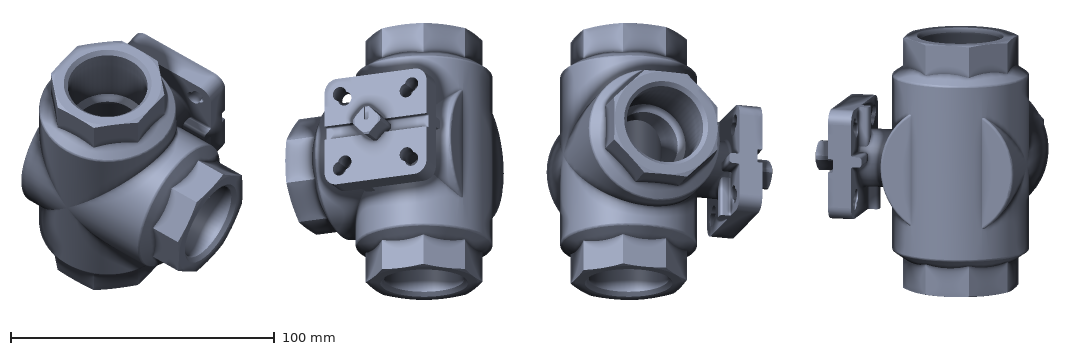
import cadquery as cq
import math

overall_height = 97.0
port_reach = overall_height / 2
body_radius = 26.0

shoulder_start = 33.7
shoulder_slope = 0.69
hub_radius = 19.4
hub_start = shoulder_start + shoulder_slope * (body_radius - hub_radius)
rim_round = 1.0
octagon_flats = 40.9
octagon_turn = 180 / 8
octagon_corner_radius = octagon_flats / 2 / math.cos(math.pi / 8)
end_chamfer_radius = 20.4
end_chamfer_depth = 0.5
bore_diameter = 25.0
thread_diameter = 30.3
thread_depth = 24.25
mouth_diameter = 33.3
drill_slope = math.tan(math.radians(30))

branch_back = 22.0

neck_radius = 22.0 / 2
plate_size = 42.0
plate_back = 37.5
plate_front = 46.6
plate_thickness = plate_front - plate_back
plate_corner_radius = 5.0
key_width = 5.2
key_depth = 1.9
key_round = 0.5

rib_width = 4.0
rib_height = 4.1
rib_tip_round = 1.3
rib_root_round = 0.8
neck_root_round = 1.0
side_rib_offset = 1.8
upright_rib_offset = 7.4

bolt_hole_diameter = 5.5
bolt_circle_diameters = (36.0, 42.0)

stem_square = 9.0
stem_corner_radius = 5.6
stem_end = 55.5
stem_chamfer_depth = 0.4
stem_chamfer_width = 0.8
mark_width = 1.9
mark_depth = 1.0


def along_x(shape):
    """Turn a shape built along +Z so that it points along +X."""
    return shape.rotate((0, 0, 0), (0, 1, 0), 90)


def cylinder_y(radius, start, end):
    """Cylinder about the Y axis between two Y positions."""
    return cq.Workplane("XZ", origin=(0, start, 0)).circle(radius).extrude(start - end)


def revolve_z(points):
    """Solid of revolution about Z from an outline of (radius, height) points."""
    return cq.Workplane("XZ").polyline(points).close().revolve(360, (0, 0, 0), (0, 1, 0))


def barrel(start_points):
    """Cylinder ending in a conical shoulder at the top, with the given outline at its lower end."""
    shoulder_points = [(body_radius, shoulder_start), (hub_radius, hub_start), (0, hub_start)]
    rims = cq.selectors.RadiusNthSelector(-1)
    return revolve_z(start_points + shoulder_points).edges("%CIRCLE").edges(rims).fillet(rim_round)


def octagon_end():
    """Octagonal spigot from the centre to the port face, its corners chamfered at the end."""
    octagon = (
        cq.Workplane("XY")
        .polygon(8, 2 * octagon_corner_radius)
        .extrude(port_reach)
        .rotate((0, 0, 0), (0, 0, 1), octagon_turn)
    )
    chamfer_cone = revolve_z([
        (0, 0),
        (octagon_corner_radius, 0),
        (octagon_corner_radius, port_reach - end_chamfer_depth),
        (end_chamfer_radius, port_reach),
        (0, port_reach),
    ])
    return octagon.intersect(chamfer_cone)


def port_bore():
    """Bore from the centre out to the port face, widening to the thread and a chamfered mouth."""
    bore = bore_diameter / 2
    thread = thread_diameter / 2
    mouth = mouth_diameter / 2
    thread_end = port_reach - thread_depth
    return revolve_z([
        (0, 0),
        (bore, 0),
        (bore, thread_end - (thread - bore) * drill_slope),
        (thread, thread_end),
        (thread, port_reach - (mouth - thread)),
        (mouth, port_reach),
        (0, port_reach),
    ])


def tee_body():
    """Vertical run with a port at each end and a horizontal branch towards +X."""
    lower_shoulder = [(0, -hub_start), (hub_radius, -hub_start), (body_radius, -shoulder_start)]
    closed_back = [(0, -branch_back), (body_radius, -branch_back)]
    spigot = octagon_end()
    run = barrel(lower_shoulder).union(spigot).union(spigot.mirror("XY"))
    branch = along_x(barrel(closed_back).union(spigot))
    return run.union(branch)


def tee_bores():
    """Bores of all three ports, meeting at the centre."""
    bore = port_bore()
    return bore.union(bore.mirror("XY")).union(along_x(bore))


def rib(offset):
    """Rib towards -X at height offset, with rounded tip and flared root, out to the plate edge."""
    length = plate_size / 2
    half = rib_width / 2
    tip = plate_back - rib_height
    corner = rib_tip_round
    flare = rib_root_round
    return (
        cq.Workplane("YZ", origin=(-length, 0, offset))
        .moveTo(plate_back, -half - flare)
        .radiusArc((plate_back - flare, -half), -flare)
        .lineTo(tip + corner, -half)
        .radiusArc((tip, -half + corner), corner)
        .lineTo(tip, half - corner)
        .radiusArc((tip + corner, half), corner)
        .lineTo(plate_back - flare, half)
        .radiusArc((plate_back, half + flare), -flare)
        .close()
        .extrude(length)
    )


def plate_blank():
    """Square plate with rounded corners and a key slot across its outer face."""
    plate = (
        cq.Workplane("XZ", origin=(0, plate_back, 0))
        .rect(plate_size, plate_size)
        .extrude(-plate_thickness)
        .edges("|Y")
        .fillet(plate_corner_radius)
    )
    key_slot = (
        cq.Workplane("XY")
        .box(plate_size, key_depth, key_width, centered=(True, False, True))
        .translate((0, plate_front - key_depth, 0))
        .edges("|X and <Y")
        .fillet(key_round)
    )
    return plate.cut(key_slot)


def bolt_holes():
    """A pair of overlapping holes through each corner of the plate, one on each bolt circle."""
    holes = cq.Workplane("XZ", origin=(0, plate_back, 0))
    for circle in bolt_circle_diameters:
        pitch = circle / math.sqrt(2)
        cylinders = (
            cq.Workplane("XZ", origin=(0, plate_back - rib_root_round, 0))
            .rect(pitch, pitch, forConstruction=True)
            .vertices()
            .circle(bolt_hole_diameter / 2)
            .extrude(-plate_thickness - rib_root_round)
        )
        holes = holes.add(cylinders)
    return holes.combine()


def mounting_plate():
    """Plate on its neck, with a rib from each edge and a rounded neck root."""
    plate = plate_blank().union(cylinder_y(neck_radius, 0, plate_back))
    neck_root = cq.selectors.NearestToPointSelector((0, plate_back, 0))
    plate = plate.edges("%CIRCLE").edges(neck_root).fillet(neck_root_round)

    side_rib = rib(side_rib_offset)
    upright_rib = rib(-upright_rib_offset).rotate((0, 0, 0), (0, 1, 0), 90)
    for half_turn in (0, 180):
        for one_rib in (side_rib, upright_rib):
            plate = plate.union(one_rib.rotate((0, 0, 0), (0, 1, 0), half_turn))
    return plate.cut(bolt_holes())


def stem():
    """Square shaft standing on its corner, with the corners turned down and the end chamfered."""
    square = (
        cq.Workplane("XZ", origin=(0, plate_back, 0))
        .rect(stem_square, stem_square)
        .extrude(plate_back - stem_end)
        .rotate((0, 0, 0), (0, 1, 0), 45)
    )
    turned = (
        cylinder_y(stem_corner_radius, plate_back, stem_end)
        .faces(">Y")
        .chamfer(stem_chamfer_depth, stem_chamfer_width)
    )
    mark = (
        cq.Workplane("XZ", origin=(0, stem_end - mark_depth, 0))
        .slot2D(2 * stem_corner_radius, mark_width, 90)
        .extrude(-mark_depth)
        .translate((0, 0, stem_corner_radius))
    )
    return square.intersect(turned).cut(mark)


result = (
    tee_body()
    .union(mounting_plate())
    .union(stem())
    .cut(tee_bores())
)